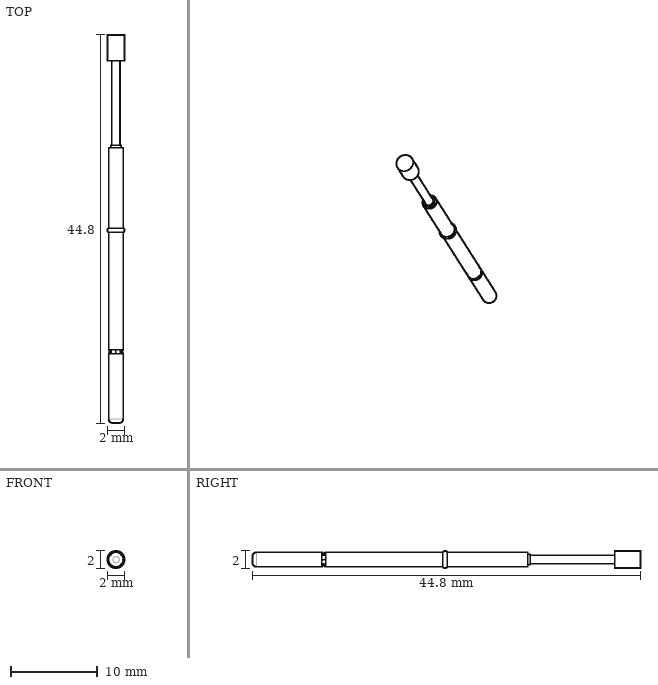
import cadquery as cq


total_length = 44.8

head_diameter = 2.0
head_length = 3.0
rod_diameter = 1.0
rod_length = 9.75

collar_diameter = 1.25
collar_length = 0.25
barrel_diameter = 1.7
barrel_tail_radius = 0.48

ring_diameter = 2.0
ring_width = 0.5
ring_offset = 9.3

crimp_count = 8
crimp_flats_distance = 1.34
groove_width = 0.46
groove_offset = 23.34

ring_front_y = 0.0
barrel_front_y = ring_front_y + ring_offset
collar_front_y = barrel_front_y + collar_length
head_back_y = collar_front_y + rod_length
tip_y = head_back_y + head_length
tail_y = tip_y - total_length
groove_front_y = barrel_front_y - groove_offset


def cylinder(diameter, front_y, length):
    """Cylinder on the Y axis running from front_y towards -Y."""
    return cq.Workplane("XZ", origin=(0, front_y, 0)).circle(diameter / 2).extrude(length)


def make_plunger():
    head = cylinder(head_diameter, tip_y, head_length)
    rod = cylinder(rod_diameter, head_back_y, rod_length)
    return head.union(rod)


def make_ring():
    """Raised ring with a rounded crown: its section is an arc over the barrel surface."""
    barrel_radius = barrel_diameter / 2
    ring_back_y = ring_front_y - ring_width
    crown = (ring_diameter / 2, ring_front_y - ring_width / 2)
    return (
        cq.Workplane("XY")
        .moveTo(0, ring_front_y)
        .lineTo(barrel_radius, ring_front_y)
        .threePointArc(crown, (barrel_radius, ring_back_y))
        .lineTo(0, ring_back_y)
        .close()
        .revolve(360, (0, 0, 0), (0, 1, 0))
    )


def make_crimp_bar():
    """Bar lying along Z whose rounded nose presses a shallow straight trough into the barrel."""
    barrel_radius = barrel_diameter / 2
    groove_back_y = groove_front_y - groove_width
    nose = (crimp_flats_distance / 2, groove_front_y - groove_width / 2)
    return (
        cq.Workplane("XY")
        .moveTo(barrel_radius, groove_front_y)
        .threePointArc(nose, (barrel_radius, groove_back_y))
        .close()
        .extrude(barrel_radius, both=True)
    )


def crimp(barrel):
    """Press equally spaced troughs all round, meeting in creases."""
    bar = make_crimp_bar()
    pitch = 360 / crimp_count
    for i in range(crimp_count):
        barrel = barrel.cut(bar.rotate((0, 0, 0), (0, 1, 0), (i + 0.5) * pitch))
    return barrel


def make_barrel():
    tube = cylinder(barrel_diameter, barrel_front_y, barrel_front_y - tail_y)
    tube = tube.faces("<Y").edges().fillet(barrel_tail_radius)
    collar = cylinder(collar_diameter, collar_front_y, collar_length)
    return crimp(tube.union(collar).union(make_ring()))


result = make_plunger().union(make_barrel())